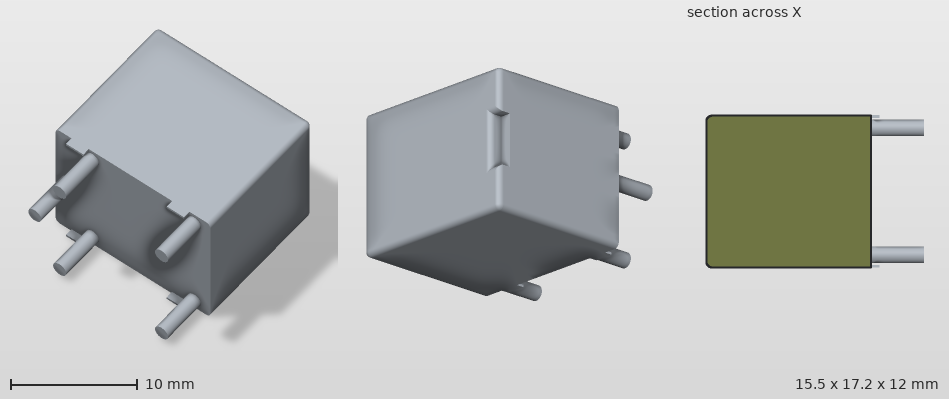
import cadquery as cq

total_length = 17.2
pin_length = 4.2
body_width = 15.5
body_height = 12.0
body_length = total_length - pin_length
edge_radius = 0.46

notch_depth = 1.0
notch_length = 1.19
notch_height = 4.5

pin_diameter = 1.3
pair_offset_z = 5.0
single_pin_x = -6.55
near_pair_x = -4.06
far_pair_x = 6.14
pin_centers = [(single_pin_x, 0)] + [
    (x, side * pair_offset_z) for x in (near_pair_x, far_pair_x) for side in (-1, 1)
]

tab_width = 1.74
tab_thickness = 0.2
tab_length = 0.69
tab_centers_x = (-5.3, 4.78)


def make_body():
    """Block with rounded lengthwise edges and a rounded, notched +Y end."""
    body = cq.Workplane("XY").box(body_width, body_length, body_height)
    body = body.translate((0, body_length / 2, 0)).edges("|Y").fillet(edge_radius)
    notch = cq.Workplane("XY").box(notch_depth, notch_length, notch_height, centered=(False, False, True))
    body = body.cut(notch.translate((-body_width / 2, body_length - notch_length, 0)))
    return body.faces(">Y").edges().fillet(edge_radius)


def make_pins():
    """Round pins standing on the -Y face."""
    return cq.Workplane("XZ").pushPoints(pin_centers).circle(pin_diameter / 2).extrude(pin_length)


def make_tabs():
    """Four rectangular tabs standing on the -Y face."""
    tab_z = (body_height - tab_thickness) / 2
    centers = [(x, side * tab_z) for x in tab_centers_x for side in (-1, 1)]
    return cq.Workplane("XZ").pushPoints(centers).rect(tab_width, tab_thickness).extrude(tab_length)


result = make_body().union(make_pins()).union(make_tabs())